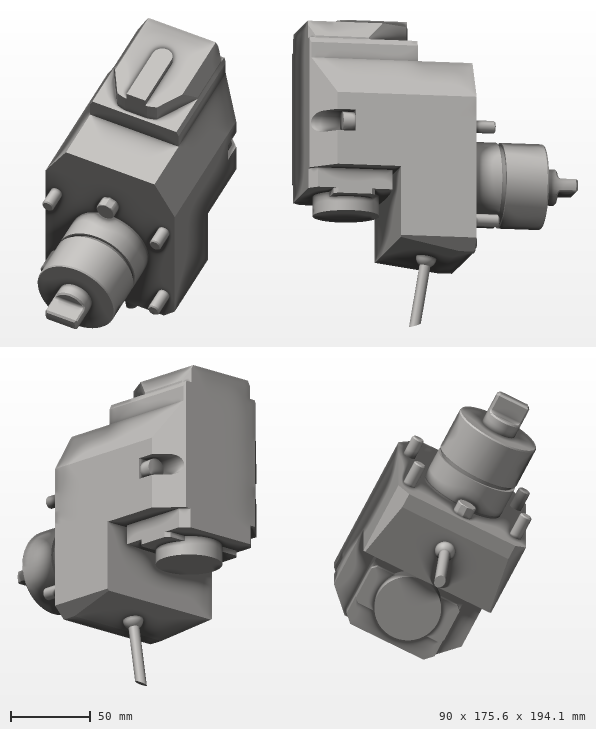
import cadquery as cq
import math


BODY_WIDTH = 90.0
BODY_BACK = 104.0
BODY_TOP = 71.8
BODY_BOTTOM = -50.0
SHOULDER_DROP = 24.3
BOTTOM_CORNER = 7.5
BACK_CORNER = 15.1
OVERHANG_Z = 1.5
FRONT_DEPTH = 48.3
BOTTOM_TILT = 9.5
BOTTOM_TILT_START = 9.7

PLATE_WIDTH = 61.7
PLATE_FRONT = 35.0
PLATE_TOP = 85.0
DOVETAIL_BASE_HEIGHT = 1.2
DOVETAIL_TOP = 96.7
DOVETAIL_FRONT = 37.3
DOVETAIL_BASE_WIDTH = 58.6
DOVETAIL_TOP_WIDTH = 47.0
DOVETAIL_NOSE_WIDTH = 25.6
DOVETAIL_NOSE_ANGLE = 30
DOVETAIL_TURN_RADIUS = 38.6
DOVETAIL_BACK_CORNER = 4.0
PLATE_BEVEL = 3.3

TONGUE_TOP = 101.3
TONGUE_WIDTH = 13.0
TONGUE_BACK = 81.7

FLANGE_WIDTH = 62.1
FLANGE_HEIGHT = 12.5
FLANGE_GAP = 1.0
FLANGE_FRONT_BULGE = 2.0
FLANGE_BACK_CORNER = 5.2
OUTPUT_Y = 75.1
OUTPUT_DIAMETER = 42.0
OUTPUT_BOTTOM = -23.1
KEY_WIDTH = 26.8
KEY_DROP = 3.3
KEY_CORNER = 2.7

SPIGOT_DIAMETER = 54.0
SPIGOT_LENGTH = 49.9
SPIGOT_RIM = 0.5
SPIGOT_RIM_LENGTH = 1.0
COLLAR_DIAMETER = 53.5
COLLAR_LENGTH = 1.7
COLLAR_BEVEL_LENGTH = 0.5
GROOVE_DIAMETER = 49.9
GROOVE_START = 19.8
GROOVE_WIDTH = 3.0

SHAFT_DIAMETER = 23.0
SHAFT_LENGTH = 58.8
BLADE_END = 71.6
BLADE_THICKNESS = 8.2
BLADE_ROOT_RADIUS = 2.0
BLADE_END_CHAMFER = 1.5
BLADE_EDGE_CHAMFER = 1.2
BLADE_SIDE_CHAMFER = 0.8
SHAFT_CHAMFER = 1.0

SCREW_X = 37.5
SCREW_Z = 29.9
SCREW_DIAMETER = 8.0
SCREW_CHAMFER = 0.8
UPPER_SCREW_LENGTH = 13.0
LOWER_SCREW_LENGTH = 15.3
POCKET_DIAMETER = 13.5
POCKET_SEAT_Y = 77.3
SCREW_HEAD_DIAMETER = 13.0
SCREW_HEAD_HEIGHT = 7.5

PIN_Z = 37.7
PIN_DIAMETER = 12.5
PIN_LENGTH = 7.2
PIN_CHAMFER = 0.5
PIN_FLAT_ANGLE = 40

CABLE_Y = 23.7
CABLE_DIAMETER = 7.0
CABLE_END_Z = -91.2
CABLE_END_SLOPE_X = 0.24
CABLE_END_SLOPE_Y = -0.34
GLAND_DIAMETER = 13.0
GLAND_LENGTH = 5.8

HALF_WIDTH = BODY_WIDTH / 2
EMBED = 2.0


def box(x0, x1, y0, y1, z0, z1):
    """Box given by its limits on the three axes."""
    return cq.Workplane("XY").box(x1 - x0, y1 - y0, z1 - z0, centered=False).translate((x0, y0, z0))


def y_cylinder(diameter, x, z, y0, y1):
    """Cylinder along Y between y0 and y1 (y1 > y0)."""
    return cq.Workplane("XZ", origin=(x, y1, z)).circle(diameter / 2).extrude(y1 - y0)


def cut_back_corners(solid, side_x):
    """Cut the 45 degree planes on both vertical back edges; they meet the back face at |X| = side_x."""
    reach = BODY_WIDTH
    for side in (-1, 1):
        wedge = (
            cq.Workplane("XY", origin=(0, 0, BODY_BOTTOM))
            .moveTo(side * side_x, BODY_BACK)
            .lineTo(side * (side_x + reach), BODY_BACK - reach)
            .lineTo(side * (side_x + reach), BODY_BACK)
            .close()
            .extrude(TONGUE_TOP - BODY_BOTTOM)
        )
        solid = solid.cut(wedge)
    return solid


def housing():
    """Angle-head body: front profile trimmed to an L with a sloping underside."""
    shoulder_x = PLATE_WIDTH / 2
    outline = [
        (-shoulder_x, BODY_TOP),
        (shoulder_x, BODY_TOP),
        (HALF_WIDTH, BODY_TOP - SHOULDER_DROP),
        (HALF_WIDTH, BODY_BOTTOM + BOTTOM_CORNER),
        (HALF_WIDTH - BOTTOM_CORNER, BODY_BOTTOM),
        (BOTTOM_CORNER - HALF_WIDTH, BODY_BOTTOM),
        (-HALF_WIDTH, BODY_BOTTOM + BOTTOM_CORNER),
        (-HALF_WIDTH, BODY_TOP - SHOULDER_DROP),
    ]
    block = cq.Workplane("XZ").polyline(outline).close().extrude(-BODY_BACK)
    slope_rise = (FRONT_DEPTH - BOTTOM_TILT_START) * math.tan(math.radians(BOTTOM_TILT))
    side_profile = [
        (0, BODY_TOP),
        (0, BODY_BOTTOM),
        (BOTTOM_TILT_START, BODY_BOTTOM),
        (FRONT_DEPTH, BODY_BOTTOM + slope_rise),
        (FRONT_DEPTH, OVERHANG_Z),
        (BODY_BACK, OVERHANG_Z),
        (BODY_BACK, BODY_TOP),
    ]
    side = cq.Workplane("YZ").polyline(side_profile).close().extrude(HALF_WIDTH, both=True)
    return block.intersect(side)


def top_plate():
    """Plate on the housing with bevelled long upper edges."""
    half = PLATE_WIDTH / 2
    half_top = DOVETAIL_BASE_WIDTH / 2
    profile = [
        (-half, BODY_TOP - EMBED),
        (half, BODY_TOP - EMBED),
        (half, PLATE_TOP - PLATE_BEVEL),
        (half_top, PLATE_TOP),
        (-half_top, PLATE_TOP),
        (-half, PLATE_TOP - PLATE_BEVEL),
    ]
    plate = cq.Workplane("XZ").polyline(profile).close().extrude(-BODY_BACK)
    return plate.intersect(box(-half, half, PLATE_FRONT, BODY_BACK, BODY_TOP - EMBED, PLATE_TOP))


def dovetail():
    """Tapered guide block with a blunt nose turned about the output axis and a round-ended tongue on top."""
    base = DOVETAIL_BASE_WIDTH / 2
    top = DOVETAIL_TOP_WIDTH / 2
    nose = DOVETAIL_NOSE_WIDTH / 2
    taper = (
        cq.Workplane("XZ", origin=(0, DOVETAIL_FRONT, 0))
        .polyline([
            (-base, PLATE_TOP),
            (base, PLATE_TOP),
            (base, PLATE_TOP + DOVETAIL_BASE_HEIGHT),
            (top, DOVETAIL_TOP),
            (-top, DOVETAIL_TOP),
            (-base, PLATE_TOP + DOVETAIL_BASE_HEIGHT),
        ])
        .close()
        .extrude(DOVETAIL_FRONT - BODY_BACK)
    )
    nose_length = (base - nose) / math.tan(math.radians(DOVETAIL_NOSE_ANGLE))
    nose_limit = DOVETAIL_FRONT + nose_length
    plan = [
        (-nose, DOVETAIL_FRONT),
        (nose, DOVETAIL_FRONT),
        (base, nose_limit),
        (base, BODY_BACK - DOVETAIL_BACK_CORNER),
        (base - DOVETAIL_BACK_CORNER, BODY_BACK),
        (DOVETAIL_BACK_CORNER - base, BODY_BACK),
        (-base, BODY_BACK - DOVETAIL_BACK_CORNER),
        (-base, nose_limit),
    ]
    column = (
        cq.Workplane("XY", origin=(0, 0, PLATE_TOP))
        .polyline(plan)
        .close()
        .extrude(DOVETAIL_TOP - PLATE_TOP)
    )
    turned_nose = (
        cq.Workplane("XY", origin=(0, OUTPUT_Y, PLATE_TOP))
        .circle(DOVETAIL_TURN_RADIUS)
        .extrude(DOVETAIL_TOP - PLATE_TOP)
        .union(box(-base, base, nose_limit, BODY_BACK, PLATE_TOP, DOVETAIL_TOP))
    )
    column = column.intersect(turned_nose)
    tongue_half = TONGUE_WIDTH / 2
    tongue = (
        cq.Workplane("XY", origin=(0, 0, PLATE_TOP))
        .moveTo(-tongue_half, DOVETAIL_FRONT)
        .lineTo(tongue_half, DOVETAIL_FRONT)
        .lineTo(tongue_half, TONGUE_BACK - tongue_half)
        .threePointArc((0, TONGUE_BACK), (-tongue_half, TONGUE_BACK - tongue_half))
        .close()
        .extrude(TONGUE_TOP - PLATE_TOP)
    )
    return taper.intersect(column).union(tongue)


def output_unit():
    """Flange, key bar and round output nose under the overhang."""
    half = FLANGE_WIDTH / 2
    flange_bottom = OVERHANG_Z - FLANGE_HEIGHT
    front = FRONT_DEPTH + FLANGE_GAP
    side_front = front + FLANGE_FRONT_BULGE
    flange = (
        cq.Workplane("XY", origin=(0, 0, flange_bottom))
        .moveTo(-half, side_front)
        .threePointArc((0, front), (half, side_front))
        .lineTo(half, BODY_BACK)
        .lineTo(-half, BODY_BACK)
        .close()
        .extrude(FLANGE_HEIGHT)
        .edges("|Z and >Y")
        .chamfer(FLANGE_BACK_CORNER)
    )
    key_half = KEY_WIDTH / 2
    key = box(-half, half, OUTPUT_Y - key_half, OUTPUT_Y + key_half, flange_bottom - KEY_DROP, flange_bottom)
    key = key.edges("|Z").chamfer(KEY_CORNER)
    nose = (
        cq.Workplane("XY", origin=(0, OUTPUT_Y, OUTPUT_BOTTOM))
        .circle(OUTPUT_DIAMETER / 2)
        .extrude(flange_bottom - OUTPUT_BOTTOM)
    )
    return flange.union(key).union(nose)


def spigot():
    """Centring spigot with a bevelled root collar, a seal groove and a broken rim."""
    radius = SPIGOT_DIAMETER / 2
    collar_radius = COLLAR_DIAMETER / 2
    groove_radius = GROOVE_DIAMETER / 2
    groove_end = GROOVE_START + GROOVE_WIDTH
    half_profile = [
        (0, 0),
        (collar_radius, 0),
        (collar_radius, COLLAR_BEVEL_LENGTH - COLLAR_LENGTH),
        (radius, -COLLAR_LENGTH),
        (radius, -GROOVE_START),
        (groove_radius, -GROOVE_START),
        (groove_radius, -groove_end),
        (radius, -groove_end),
        (radius, SPIGOT_RIM_LENGTH - SPIGOT_LENGTH),
        (radius - SPIGOT_RIM, -SPIGOT_LENGTH),
        (0, -SPIGOT_LENGTH),
    ]
    return cq.Workplane("XY").polyline(half_profile).close().revolve(360, (0, 0, 0), (0, 1, 0))


def drive_shaft():
    """Shaft ending in a flat driving blade with bevelled edges and filleted roots."""
    shaft = y_cylinder(SHAFT_DIAMETER, 0, 0, -SHAFT_LENGTH, 0).faces("<Y").chamfer(SHAFT_CHAMFER)
    blade = y_cylinder(SHAFT_DIAMETER, 0, 0, -BLADE_END, -SPIGOT_LENGTH)
    blade = blade.faces("<Y").chamfer(BLADE_END_CHAMFER)
    radius = SHAFT_DIAMETER / 2
    half = BLADE_THICKNESS / 2
    root = half + BLADE_ROOT_RADIUS
    profile = (
        cq.Workplane("YZ")
        .moveTo(-SPIGOT_LENGTH, root)
        .lineTo(-SHAFT_LENGTH, root)
        .radiusArc((-SHAFT_LENGTH - BLADE_ROOT_RADIUS, half), BLADE_ROOT_RADIUS)
        .lineTo(BLADE_EDGE_CHAMFER - BLADE_END, half)
        .lineTo(-BLADE_END, half - BLADE_EDGE_CHAMFER)
        .lineTo(-BLADE_END, BLADE_EDGE_CHAMFER - half)
        .lineTo(BLADE_EDGE_CHAMFER - BLADE_END, -half)
        .lineTo(-SHAFT_LENGTH - BLADE_ROOT_RADIUS, -half)
        .radiusArc((-SHAFT_LENGTH, -root), BLADE_ROOT_RADIUS)
        .lineTo(-SPIGOT_LENGTH, -root)
        .close()
        .extrude(radius, both=True)
    )
    flats_start = -SHAFT_LENGTH - BLADE_ROOT_RADIUS
    blade = blade.intersect(profile)
    flats_zone = cq.selectors.BoxSelector((-radius, -BLADE_END, -root), (radius, flats_start, root))
    blade = blade.edges("|Y").edges(flats_zone).chamfer(BLADE_SIDE_CHAMFER)
    return shaft.union(blade)


def screw_tip(x, z, length):
    """Chamfered end of a fixing screw standing out of the mounting face."""
    return y_cylinder(SCREW_DIAMETER, x, z, -length, EMBED).faces("<Y").chamfer(SCREW_CHAMFER)


def locating_pin(side):
    """Short pin with two flats that meet in a ridge on the side away from the spindle."""
    radius = PIN_DIAMETER / 2
    pin = y_cylinder(PIN_DIAMETER, 0, side * PIN_Z, -PIN_LENGTH, EMBED).faces("<Y").chamfer(PIN_CHAMFER)
    angle = math.radians(PIN_FLAT_ANGLE)
    flat_x = radius * math.sin(angle)
    flat_z = radius * math.cos(angle)
    flats = (
        cq.Workplane("XZ")
        .polyline([
            (-flat_x, side * (PIN_Z + flat_z)),
            (0, side * (PIN_Z + radius)),
            (flat_x, side * (PIN_Z + flat_z)),
            (flat_x, side * (PIN_Z + PIN_DIAMETER)),
            (-flat_x, side * (PIN_Z + PIN_DIAMETER)),
        ])
        .close()
        .extrude(PIN_LENGTH)
    )
    return pin.cut(flats)


def screw_pocket(side):
    """Round-sided pocket behind an upper screw, open to the side and the back."""
    x = side * SCREW_X
    half = POCKET_DIAMETER / 2
    bore = y_cylinder(POCKET_DIAMETER, x, SCREW_Z, POCKET_SEAT_Y, BODY_BACK)
    left, right = sorted((x, side * HALF_WIDTH))
    opening = box(left, right, POCKET_SEAT_Y, BODY_BACK, SCREW_Z - half, SCREW_Z + half)
    return bore.union(opening)


def screw_head(side):
    """Head of an upper screw resting on its pocket seat."""
    head_end = POCKET_SEAT_Y + SCREW_HEAD_HEIGHT
    return y_cylinder(SCREW_HEAD_DIAMETER, side * SCREW_X, SCREW_Z, POCKET_SEAT_Y - EMBED, head_end)


def cable():
    """Domed gland and straight cable, square to the sloping underside, with an oblique cut end."""
    tilt = math.radians(BOTTOM_TILT)
    start_z = BODY_BOTTOM + (CABLE_Y - BOTTOM_TILT_START) * math.tan(tilt)
    axis = (0, math.sin(tilt), -math.cos(tilt))
    plane = cq.Plane(origin=(0, CABLE_Y, start_z), xDir=(1, 0, 0), normal=axis)
    axis_length = (start_z - CABLE_END_Z) / math.cos(tilt)
    lead = cq.Workplane(plane).circle(CABLE_DIAMETER / 2).extrude(axis_length + CABLE_DIAMETER)
    end_plane = cq.Plane(
        origin=(0, CABLE_Y + axis_length * math.sin(tilt), CABLE_END_Z),
        xDir=(1, 0, CABLE_END_SLOPE_X),
        normal=(CABLE_END_SLOPE_X, CABLE_END_SLOPE_Y, -1),
    )
    offcut = cq.Workplane(end_plane).circle(2 * CABLE_DIAMETER).extrude(2 * CABLE_DIAMETER)
    gland = cq.Workplane(plane).sphere(GLAND_DIAMETER / 2)
    gland = gland.intersect(cq.Workplane(plane).circle(GLAND_DIAMETER).extrude(GLAND_LENGTH))
    return lead.cut(offcut).union(gland)


body = housing().union(top_plate()).union(output_unit())
body = cut_back_corners(body, HALF_WIDTH - BACK_CORNER).union(dovetail())
result = body.union(spigot()).union(drive_shaft()).union(cable())
for side in (-1, 1):
    result = result.cut(screw_pocket(side)).union(screw_head(side))
    result = result.union(screw_tip(side * SCREW_X, SCREW_Z, UPPER_SCREW_LENGTH))
    result = result.union(screw_tip(side * SCREW_X, -SCREW_Z, LOWER_SCREW_LENGTH))
    result = result.union(locating_pin(side))